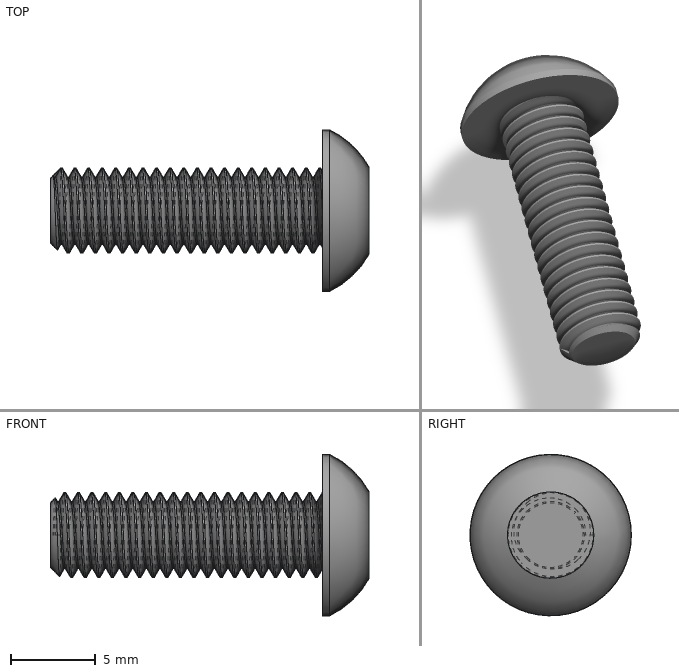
import cadquery as cq
import math

thread_diameter = 5.0
pitch = 0.8
root_diameter = 3.96
crest_width = pitch / 8
shank_length = 16.0
tip_diameter = 3.8
flank_half_angle = math.radians(30)
groove_start_offset = 0.25

head_diameter = 9.5
head_height = 2.75
head_rim_thickness = 0.42
head_flat_diameter = 5.08

thread_radius = thread_diameter / 2
root_radius = root_diameter / 2
tip_radius = tip_diameter / 2
head_radius = head_diameter / 2
head_flat_radius = head_flat_diameter / 2


def make_head():
    """Thin cylindrical rim topped by a spherical dome with a flat end."""
    dome_rise = head_height - head_rim_thickness
    dome_centre = (
        head_height + head_rim_thickness - (head_radius**2 - head_flat_radius**2) / dome_rise
    ) / 2
    dome_radius = math.hypot(head_height - dome_centre, head_flat_radius)
    mid_x = head_rim_thickness + dome_rise / 2
    mid_radius = math.sqrt(dome_radius**2 - (mid_x - dome_centre) ** 2)
    profile = (
        cq.Workplane("XY")
        .lineTo(0, head_radius)
        .lineTo(head_rim_thickness, head_radius)
        .threePointArc((mid_x, mid_radius), (head_height, head_flat_radius))
        .lineTo(head_height, 0)
        .close()
    )
    return profile.revolve(360, (0, 0), (1, 0))


def make_thread_bar(turns, plain_length):
    """Round bar along Z with a helical groove of whole turns and a plain length at both ends.

    The groove starts and stops with a flat face on the +X side and starts centred at Z = 0.
    """
    mouth_half_width = (pitch - crest_width) / 2
    flank_width = (thread_radius - root_radius) * math.tan(flank_half_angle)
    root_half_width = mouth_half_width - flank_width
    groove = [
        (thread_radius, -mouth_half_width),
        (root_radius, -root_half_width),
        (root_radius, root_half_width),
        (thread_radius, mouth_half_width),
    ]
    next_groove_edge = (thread_radius, pitch - mouth_half_width)
    thread_profile = groove + [next_groove_edge]

    def one_turn(radius, height):
        return cq.Wire.makeHelix(pitch, pitch, radius, center=cq.Vector(0, 0, height)).Edges()[0]

    def plain_end(end_height, groove_edge_height):
        """Flat end disc and the cylindrical wall from it to the edge of the groove."""
        circle = cq.Edge.makeCircle(thread_radius, cq.Vector(0, 0, end_height))
        disc = cq.Face.makeFromWires(cq.Wire.assembleEdges([circle]))
        wall = cq.Face.makeRuledSurface(circle, one_turn(thread_radius, groove_edge_height))
        return [disc, wall]

    def groove_stop(height):
        """Flat face in the shape of the groove that closes it."""
        corners = [cq.Vector(radius, 0, height + offset) for radius, offset in groove]
        return cq.Face.makeFromWires(cq.Wire.makePolygon(corners, close=True))

    groove_length = turns * pitch
    faces = plain_end(-plain_length, -mouth_half_width)
    faces += plain_end(groove_length + plain_length, groove_length - pitch + mouth_half_width)
    faces += [groove_stop(0), groove_stop(groove_length)]
    for turn in range(turns):
        base = turn * pitch
        turn_profile = thread_profile if turn < turns - 1 else groove
        for (radius_a, height_a), (radius_b, height_b) in zip(turn_profile, turn_profile[1:]):
            lower_edge = one_turn(radius_a, base + height_a)
            upper_edge = one_turn(radius_b, base + height_b)
            faces.append(cq.Face.makeRuledSurface(lower_edge, upper_edge))
    return cq.Workplane(cq.Solid.makeSolid(cq.Shell.makeShell(faces)))


def make_threaded_shank():
    """Right-handed thread running the whole shank, with a 45 degree chamfer at the tip."""
    spare_turns = 2
    turns = math.ceil(shank_length / pitch) + spare_turns
    plain_length = 2 * pitch
    bar = make_thread_bar(turns, plain_length).rotate((0, 0, 0), (1, 1, 1), 120)
    bar = bar.translate((groove_start_offset - shank_length, 0, 0))

    envelope_radius = thread_radius + pitch / 2
    envelope = cq.Workplane("YZ").circle(envelope_radius).extrude(-shank_length)
    envelope = envelope.faces("<X").chamfer(envelope_radius - tip_radius)
    return bar.intersect(envelope)


result = make_head().union(make_threaded_shank()).solids()